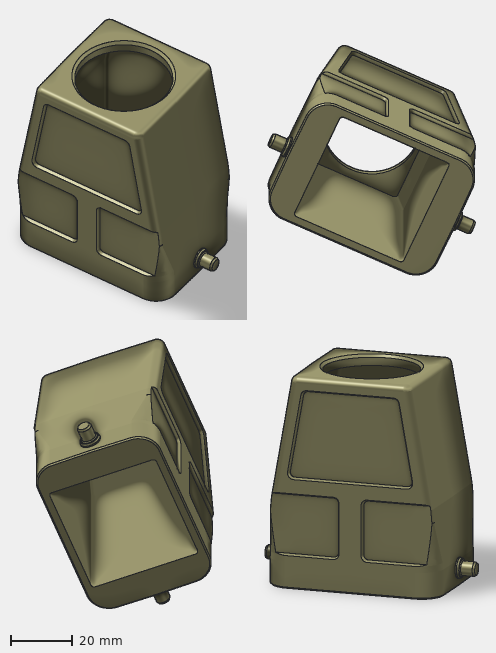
import cadquery as cq
import math

length = 72.6
width = 43.0
height = 71.6

base_length = 60.1
base_height = 8.9
knee_height = 30.1
skirt_taper = 5.0
upper_taper = 10.0
end_ridge = 0.3
base_corner_radius = 7.8
upper_corner_radius = 2.55
corner_blend_bottom = 11.1
corner_blend_top = 25.8
corner_overlap = 0.015
top_fillet = 2.2
bottom_chamfer = 0.5

entry_diameter = 32.0
entry_chamfer = 0.95
roof_thickness = 3.7
cavity_length = 39.2
cavity_width = 37.3
cavity_corner_radius = 1.15
cavity_knee_height = 55.2

panel_depth = 1.15
panel_corner_radius = 2.2
panel_draft = 27.0
upper_panel_bottom = 36.9
upper_panel_top = 67.2
upper_panel_inset = 4.95
lower_panel_bottom = 11.1
lower_panel_top = 32.1
lower_panel_gap = 7.55

pin_height = 6.25
pin_diameter = 4.8
pin_tip_diameter = 4.0
pin_tip_length = 0.7
collar_diameter = 7.0
collar_rim_length = 0.4
collar_face_diameter = 6.4
collar_length = 1.15
pin_root_chamfer = 0.35

half_width = width / 2
half_base_length = base_length / 2
skirt_slope = math.tan(math.radians(skirt_taper))
upper_slope = math.tan(math.radians(upper_taper))


def half_length_at(z):
    """Distance from the middle of the shell to its end ridge at height z."""
    skirt_rise = max(0, min(z, knee_height) - base_height)
    upper_rise = max(0, z - knee_height)
    return half_base_length - skirt_slope * skirt_rise - upper_slope * upper_rise


def corner_radius_at(z):
    """Radius of the upright corners at height z."""
    blend = (z - corner_blend_bottom) / (corner_blend_top - corner_blend_bottom)
    blend = max(0, min(1, blend))
    return base_corner_radius + blend * (upper_corner_radius - base_corner_radius)


def make_tapered_block():
    """Sharp-edged shell outline: straight long sides and ends that fall away from a middle ridge."""
    margin = 3.6
    profile = []
    for z in (height + margin, knee_height, base_height, -margin):
        profile.append((half_length_at(z), z))
    profile += [(-x, z) for x, z in reversed(profile)]
    draft = math.degrees(math.atan(end_ridge / half_width))
    half = cq.Workplane("XZ").polyline(profile).close().extrude(half_width, taper=draft)
    envelope = cq.Workplane("XY").box(length, width, height, centered=(True, True, False))
    return half.union(half.mirror("XZ")).intersect(envelope)


def corner_waste(z):
    """Outline at height z of what lies outside the rounded +X +Y corner."""
    radius = corner_radius_at(z)
    end_y = half_width - radius
    end_x = half_length_at(z) - end_ridge * end_y / half_width + corner_overlap
    side_y = half_width + corner_overlap
    outer = length
    bulge = radius * math.sqrt(0.5)
    side_x = end_x - radius
    arc_y = side_y - radius
    outline = (
        cq.Workplane("XY", origin=(0, 0, z))
        .moveTo(end_x, arc_y)
        .threePointArc((side_x + bulge, arc_y + bulge), (side_x, side_y))
        .lineTo(side_x, outer)
        .lineTo(outer, outer)
        .lineTo(outer, arc_y)
        .close()
    )
    return outline.val()


def make_shell():
    block = make_tapered_block()
    lower_space = cq.Workplane("XY").box(length, width, corner_blend_top, centered=(True, True, False))
    upper = block.cut(lower_space)
    upper = upper.edges("<Y or >Y").edges("not(#Z)").fillet(upper_corner_radius)
    upper = upper.faces(">Z").edges().fillet(top_fillet)
    lower = block.intersect(lower_space)
    levels = [0, base_height, corner_blend_bottom, corner_blend_top]
    waste = cq.Workplane(cq.Solid.makeLoft([corner_waste(z) for z in levels], True))
    for corner in (waste, waste.mirror("XZ")):
        lower = lower.cut(corner).cut(corner.mirror("YZ"))
    shell = lower.union(upper)
    return shell.faces("<Z").edges().chamfer(bottom_chamfer)


def make_cavity():
    """Cavity open at the bottom, with its end walls leaning inward near the roof."""
    ceiling = height - roof_thickness
    half_cavity = cavity_length / 2
    half_ceiling = half_cavity - upper_slope * (ceiling - cavity_knee_height)
    profile = [
        (-half_cavity, 0),
        (-half_cavity, cavity_knee_height),
        (-half_ceiling, ceiling),
        (half_ceiling, ceiling),
        (half_cavity, cavity_knee_height),
        (half_cavity, 0),
    ]
    cavity = cq.Workplane("XZ").polyline(profile).close().extrude(cavity_width / 2, both=True)
    upright_edges = cavity.edges("<Y or >Y").edges("not(|X)")
    return upright_edges.fillet(cavity_corner_radius)


def make_entry():
    """Round cable entry through the roof, chamfered at the top."""
    radius = entry_diameter / 2
    bottom = height - 2 * roof_thickness
    profile = [
        (0, bottom),
        (radius, bottom),
        (radius, height - entry_chamfer),
        (radius + entry_chamfer, height),
        (0, height),
    ]
    return cq.Workplane("XZ").polyline(profile).close().revolve(360, (0, 0), (0, 1))


def make_panel(corners):
    """Recess cut into the -Y side with drafted walls and rounded corners."""
    outline = cq.Sketch().polygon(corners + corners[:1]).vertices().fillet(panel_corner_radius)
    face_plane = cq.Workplane("XZ", origin=(0, -half_width, 0))
    return face_plane.placeSketch(outline).extrude(-panel_depth, taper=panel_draft)


def make_panels():
    """The three recesses of the -Y side."""
    upper_half_bottom = half_length_at(upper_panel_bottom) - upper_panel_inset
    upper_half_top = half_length_at(upper_panel_top) - upper_panel_inset
    upper = make_panel([
        (-upper_half_bottom, upper_panel_bottom),
        (upper_half_bottom, upper_panel_bottom),
        (upper_half_top, upper_panel_top),
        (-upper_half_top, upper_panel_top),
    ])
    inner_x = lower_panel_gap / 2
    outer_x = length / 2
    lower = make_panel([
        (inner_x, lower_panel_bottom),
        (outer_x, lower_panel_bottom),
        (outer_x, lower_panel_top),
        (inner_x, lower_panel_top),
    ])
    return upper.union(lower).union(lower.mirror("YZ"))


def make_pin():
    """Locking pin with its collar on the +X end."""
    pin_radius = pin_diameter / 2
    collar_radius = collar_diameter / 2
    rim_end = half_base_length + collar_rim_length
    collar_end = half_base_length + collar_length
    tip = length / 2
    root = cavity_length / 2 + cavity_corner_radius
    profile = (
        cq.Workplane("XY")
        .moveTo(root, 0)
        .lineTo(root, collar_radius)
        .lineTo(rim_end, collar_radius)
        .lineTo(collar_end, collar_face_diameter / 2)
        .lineTo(collar_end, pin_radius + pin_root_chamfer)
        .lineTo(collar_end + pin_root_chamfer, pin_radius)
        .lineTo(tip - pin_tip_length, pin_radius)
        .lineTo(tip, pin_tip_diameter / 2)
        .lineTo(tip, 0)
        .close()
    )
    pin = profile.revolve(360, (0, 0), (1, 0))
    return pin.translate((0, 0, pin_height))


panels = make_panels()
pin = make_pin()
result = make_shell().cut(panels).cut(panels.mirror("XZ"))
result = result.union(pin).union(pin.mirror("YZ"))
result = result.cut(make_cavity()).cut(make_entry())